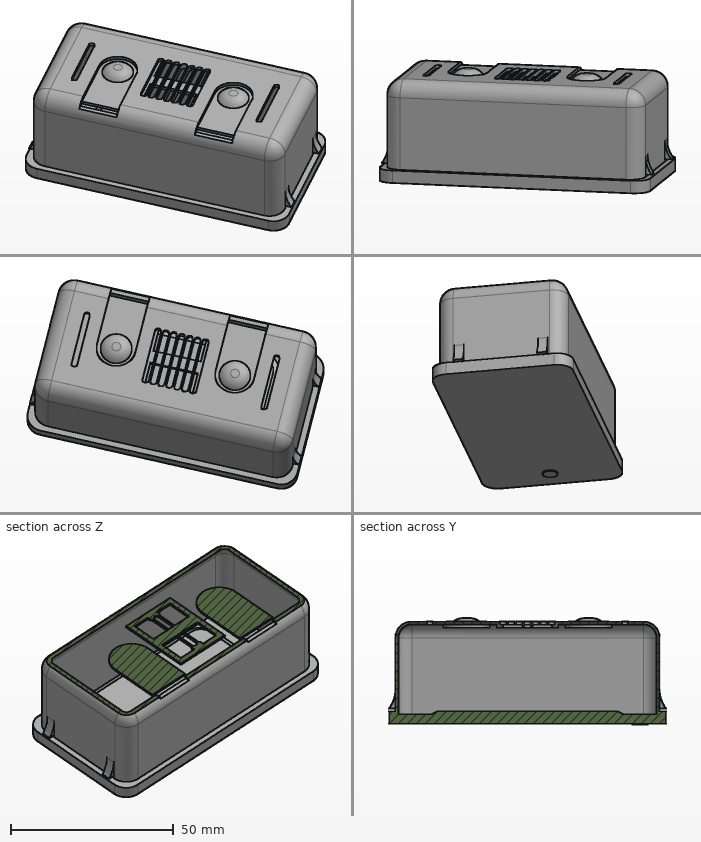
import cadquery as cq
import math

plate_length = 85.3
plate_width = 44.0
plate_height = 3.9
corner_radius = 5.0

cover_length = 81.4
cover_width = 40.3
roof_z = 31.6
wall = 1.0
cavity_length = cover_length - 2 * wall
cavity_width = cover_width - 2 * wall
cavity_radius = corner_radius - wall
ceiling_z = roof_z - wall

pad_foot_length = 59.2
pad_foot_radius = 6.1
pad_top_width = 34.5
pad_slope_width = (cavity_width - pad_top_width) / 2
pad_height = pad_slope_width / 2

slot_length = 18.25
grille_slot_width = 2.0
grille_slot_count = 7
grille_span = 15.0
grille_pitch = grille_span / (grille_slot_count - 1)
side_slot_width = 1.8
side_slot_x = 30.0

grille_rib_width = 3.9
frame_border = 2.0
frame_window_end_y = 10.15
frame_height = 1.0

button_x = 18.8
tongue_width = 12.1
tongue_drop = 1.0
tongue_thickness = 0.9
tongue_end_y = -16.5
tongue_z = roof_z - tongue_drop
pocket_floor_z = tongue_z - tongue_thickness
cap_diameter = 9.6
cap_flat_diameter = 2.7
cap_rise = 2.05
cap_arc_radius = 4.3

clip_y = 13.1
clip_width = 3.0
clip_height = 5.8
clip_gap = 0.8

foot_diameter = 4.7
foot_height = 0.3
foot_x = -34.6


def block(length, width, bottom_z, top_z):
    """A plain block centred on the Z axis."""
    base = cq.Workplane("XY", origin=(0, 0, bottom_z))
    return base.rect(length, width).extrude(top_z - bottom_z)


def rounded_block(length, width, bottom_z, top_z, radius):
    """A block with rounded upright corners."""
    return block(length, width, bottom_z, top_z).edges("|Z").fillet(radius)


def domed_block(length, width, top_z, radius):
    """A block on the plate with its upright and top edges rounded alike."""
    return block(length, width, plate_height, top_z).edges("|Z or >Z").fillet(radius)


def floor_moat():
    """The sunken ring left around the sloped pad on the cavity floor."""
    floor_z = plate_height - pad_height
    slope_angle = math.degrees(math.atan2(pad_slope_width, pad_height))
    foot_outline = (
        cq.Sketch()
        .rect(pad_foot_length, cavity_width)
        .vertices()
        .fillet(pad_foot_radius)
    )
    pad = cq.Workplane("XY", origin=(0, 0, floor_z)).placeSketch(foot_outline)
    pad = pad.extrude(pad_height, taper=slope_angle)
    return rounded_block(cavity_length, cavity_width, floor_z, plate_height, cavity_radius).cut(pad)


def roof_slots(xs, width):
    """Round-ended slots along Y, deep enough for the roof and the rib below it."""
    depth = wall + frame_height
    base = cq.Workplane("XY", origin=(0, 0, roof_z - depth))
    return base.pushPoints([(x, 0) for x in xs]).slot2D(slot_length, width, 90).extrude(depth)


def under_roof(length, width):
    """A flat bar fixed to the underside of the roof."""
    return block(length, width, ceiling_z - frame_height, ceiling_z)


def grille_frame():
    """A border around the grille with a cross bar between its two windows."""
    window_length = 2 * frame_window_end_y
    border = under_roof(grille_span + 2 * frame_border, window_length + 2 * frame_border)
    windows = under_roof(grille_span, window_length)
    cross_bar = under_roof(grille_span, grille_rib_width)
    return border.cut(windows).union(cross_bar)


def tongue_strip(width, end_y, bottom_z, top_z):
    """A strip running toward -Y, its other end rounded about the Z axis."""
    half = width / 2
    return (
        cq.Workplane("XY", origin=(0, 0, bottom_z))
        .moveTo(-half, end_y)
        .lineTo(-half, 0)
        .threePointArc((0, half), (half, 0))
        .lineTo(half, end_y)
        .close()
        .extrude(top_z - bottom_z)
    )


def button_cap():
    """A flat-topped cap with a rounded flank."""
    return (
        cq.Workplane("XZ", origin=(0, 0, tongue_z))
        .lineTo(0, cap_rise)
        .lineTo(cap_flat_diameter / 2, cap_rise)
        .radiusArc((cap_diameter / 2, 0), cap_arc_radius)
        .close()
        .revolve(360, (0, 0), (0, 1))
    )


def add_button(body, x):
    """Sink a walled pocket into the roof and lay the tongue and its cap in it."""
    place = (x, 0, 0)
    housing = tongue_strip(tongue_width + 2 * wall, tongue_end_y, pocket_floor_z, ceiling_z)
    pocket = tongue_strip(tongue_width, -cover_width / 2, pocket_floor_z, roof_z)
    tongue = tongue_strip(tongue_width, tongue_end_y, pocket_floor_z, tongue_z)
    body = body.union(housing.translate(place)).cut(pocket.translate(place))
    return body.union(tongue.union(button_cap()).translate(place))


def clip():
    """A snap clip on the +X end: flat below, with a hollow curve above."""
    wall_x = cover_length / 2
    root_x = wall_x - wall / 2
    tip_x = plate_length / 2
    bottom_z = plate_height + clip_gap
    top_z = bottom_z + clip_height
    reach = tip_x - wall_x
    curve_radius = (reach**2 + clip_height**2) / (2 * reach)
    return (
        cq.Workplane("XZ", origin=(0, clip_width / 2, 0))
        .moveTo(root_x, bottom_z)
        .lineTo(root_x, top_z)
        .lineTo(wall_x, top_z)
        .radiusArc((tip_x, bottom_z), -curve_radius)
        .close()
        .extrude(clip_width)
    )


plate = rounded_block(plate_length, plate_width, 0, plate_height, corner_radius)
cover = domed_block(cover_length, cover_width, roof_z, corner_radius)
cavity = domed_block(cavity_length, cavity_width, ceiling_z, cavity_radius)
result = plate.cut(floor_moat()).union(cover.cut(cavity))

grille_xs = [i * grille_pitch - grille_span / 2 for i in range(grille_slot_count)]
result = result.union(under_roof(grille_rib_width, 2 * frame_window_end_y))
result = result.cut(roof_slots(grille_xs, grille_slot_width))
result = result.cut(roof_slots([-side_slot_x, side_slot_x], side_slot_width))
result = result.union(grille_frame())

for x in (-button_x, button_x):
    result = add_button(result, x)

for y in (-clip_y, clip_y):
    right_clip = clip().translate((0, y, 0))
    result = result.union(right_clip).union(right_clip.mirror("YZ"))

foot = cq.Workplane("XY", origin=(foot_x, 0, -foot_height)).circle(foot_diameter / 2)
result = result.union(foot.extrude(foot_height))